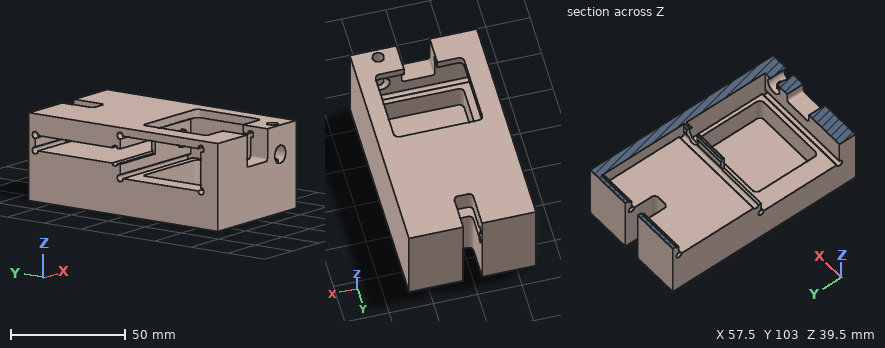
import cadquery as cq

LENGTH_X = 57.5
LENGTH_Y = 103.0
HEIGHT = 39.5

CAVITY_DEPTH = 51.75
RELIEF_RADIUS = 1.5

MAIN_FRONT_Y = 9.25
MAIN_BACK_Y = 53.3
MAIN_FLOOR_Z = 16.8
MAIN_CEILING_Z = 35.8

REAR_FRONT_Y = 55.1
REAR_BACK_Y = 99.5
REAR_FLOOR_Z = 23.0
REAR_CEILING_Z = 29.9
REAR_RELIEF_INSET_Y = 1.0
REAR_RELIEF_INSET_Z = 0.4

PASSAGE_DEPTH = 25.75

WINDOW_X = 9.75
WINDOW_Y = 13.3
WINDOW_WIDTH = 40.0
WINDOW_LENGTH = 35.1
WINDOW_RADIUS = 2.3
WELL_FLOOR_Z = 5.0

NOTCH_X = 21.4
NOTCH_WIDTH = 15.0
NOTCH_FLOOR_Z = 25.0
NOTCH_RADIUS = 1.4

SLOT_X = 24.5
SLOT_WIDTH = 8.5
SLOT_DEPTH = 16.9
SLOT_RADIUS = 2.0

HOLE_X = 45.75
CROSS_HOLE_DIAMETER = 8.0
CROSS_HOLE_Z = 26.4
PIN_HOLE_DIAMETER = 5.0
PIN_HOLE_Y = 4.2


def box(x_min, x_max, y_min, y_max, z_min, z_max):
    """Box between the given limits."""
    size = (x_max - x_min, y_max - y_min, z_max - z_min)
    return cq.Workplane("XY").box(*size, centered=False).translate((x_min, y_min, z_min))


def reliefs(points):
    """Corner relief bores along X at the given (y, z) points."""
    return cq.Workplane("YZ").pushPoints(points).circle(RELIEF_RADIUS).extrude(CAVITY_DEPTH)


def main_cavity():
    cavity = box(0, CAVITY_DEPTH, MAIN_FRONT_Y, MAIN_BACK_Y, MAIN_FLOOR_Z, MAIN_CEILING_Z)
    corners = [(y, z) for y in (MAIN_FRONT_Y, MAIN_BACK_Y) for z in (MAIN_FLOOR_Z, MAIN_CEILING_Z)]
    return cavity.union(reliefs(corners))


def rear_cavity():
    cavity = box(0, CAVITY_DEPTH, REAR_FRONT_Y, REAR_BACK_Y, REAR_FLOOR_Z, REAR_CEILING_Z)
    front_relief_y = REAR_FRONT_Y + REAR_RELIEF_INSET_Y
    relief_centres = [
        (REAR_BACK_Y, REAR_FLOOR_Z),
        (REAR_BACK_Y, REAR_CEILING_Z),
        (front_relief_y, REAR_FLOOR_Z + REAR_RELIEF_INSET_Z),
        (front_relief_y, REAR_CEILING_Z - REAR_RELIEF_INSET_Z),
    ]
    return cavity.union(reliefs(relief_centres))


def passage():
    return box(0, PASSAGE_DEPTH, MAIN_BACK_Y, REAR_FRONT_Y, REAR_FLOOR_Z, REAR_CEILING_Z)


def window_and_well():
    opening = box(
        WINDOW_X, WINDOW_X + WINDOW_WIDTH,
        WINDOW_Y, WINDOW_Y + WINDOW_LENGTH,
        WELL_FLOOR_Z, HEIGHT,
    )
    return opening.edges("|Z").fillet(WINDOW_RADIUS)


def front_notch():
    notch = box(NOTCH_X, NOTCH_X + NOTCH_WIDTH, 0, WINDOW_Y, NOTCH_FLOOR_Z, HEIGHT)
    return notch.edges("|Y and <Z").fillet(NOTCH_RADIUS)


def back_slot():
    slot = box(SLOT_X, SLOT_X + SLOT_WIDTH, LENGTH_Y - SLOT_DEPTH, LENGTH_Y, 0, HEIGHT)
    return slot.edges("|Z and <Y").fillet(SLOT_RADIUS)


def cross_hole():
    """Hole along Y through the front wall and the wall between the cavities."""
    profile = cq.Workplane("XZ").center(HOLE_X, CROSS_HOLE_Z).circle(CROSS_HOLE_DIAMETER / 2)
    return profile.extrude(-REAR_FRONT_Y)


def pin_hole():
    profile = cq.Workplane("XY").center(HOLE_X, PIN_HOLE_Y).circle(PIN_HOLE_DIAMETER / 2)
    return profile.extrude(HEIGHT)


result = box(0, LENGTH_X, 0, LENGTH_Y, 0, HEIGHT)
cutters = (
    main_cavity, rear_cavity, passage, window_and_well,
    front_notch, back_slot, cross_hole, pin_hole,
)
for cutter in cutters:
    result = result.cut(cutter())